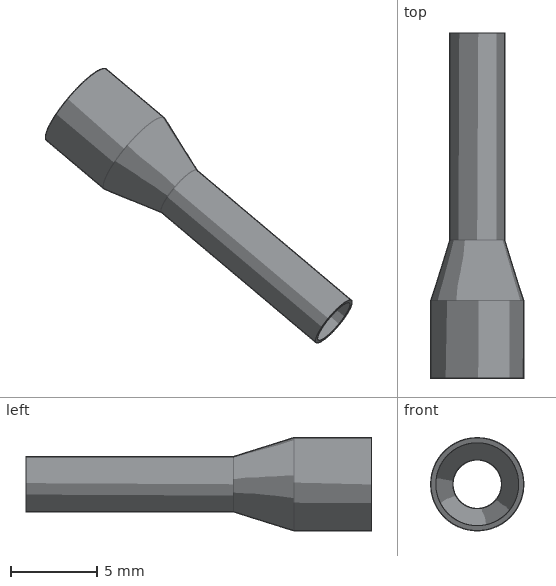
import cadquery as cq


total_length = 20.0
tube_length = 12.0
sleeve_length = 4.5

tube_outer_diameter = 3.2
tube_bore_diameter = 2.8
sleeve_outer_diameter = 5.4
sleeve_bore_diameter = 4.8

mouth_y = 0.0
cone_start_y = mouth_y + sleeve_length
cone_end_y = mouth_y + total_length - tube_length
tip_y = mouth_y + total_length


def flared_body(sleeve_diameter, tube_diameter):
    """Solid of revolution about Y: sleeve cylinder, cone, then tube cylinder."""
    sleeve_radius = sleeve_diameter / 2
    tube_radius = tube_diameter / 2
    half_profile = (
        cq.Workplane("YZ")
        .moveTo(mouth_y, 0)
        .lineTo(mouth_y, sleeve_radius)
        .lineTo(cone_start_y, sleeve_radius)
        .lineTo(cone_end_y, tube_radius)
        .lineTo(tip_y, tube_radius)
        .lineTo(tip_y, 0)
        .close()
    )
    return half_profile.revolve(360, (0, 0, 0), (1, 0, 0))


outer_body = flared_body(sleeve_outer_diameter, tube_outer_diameter)
through_bore = flared_body(sleeve_bore_diameter, tube_bore_diameter)

result = outer_body.cut(through_bore)